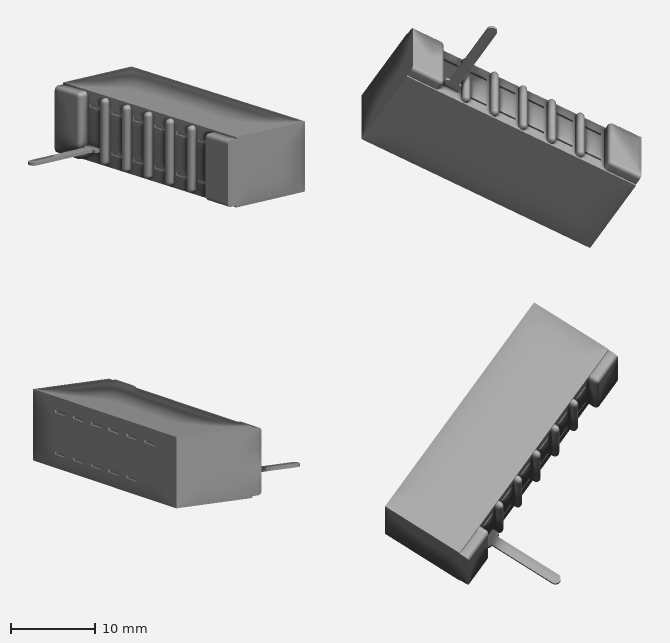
import cadquery as cq


housing_length = 31.65
housing_depth = 10.73
housing_height = 8.7

foot_length = 4.43
foot_projection = 1.33
raised_inset = 0.22
raised_height = housing_height - 2 * raised_inset
foot_fillet = 0.5

contact_pitch = 3.95
column_count = 6
row_spacing = 5.05

slot_width = 2.2
slot_height = 0.38

rib_radius = 0.5
rib_projection = 0.82
rib_base = rib_projection - rib_radius

pin_reach = 10.38
shoulder_projection = 1.0
shoulder_corner_radius = 0.32
shaft_width = 1.27

column_positions = [(i - (column_count - 1) / 2) * contact_pitch for i in range(column_count)]
rib_positions = [x + contact_pitch / 2 for x in column_positions[:-1]]
row_positions = [-row_spacing / 2, row_spacing / 2]


def make_left_foot():
    """Foot with its front and inner edges rounded, flush with the left end of the housing."""
    foot = cq.Workplane("XY").box(
        foot_length, foot_projection, raised_height, centered=(False, False, True)
    )
    foot = foot.edges("(>X and (|Y or <Y)) or (<Y and |X)").fillet(foot_fillet)
    return foot.translate((-housing_length / 2, -foot_projection, 0))


def make_rib(x):
    """Upright rib with a half-round nose and ball-shaped ends."""
    core_height = raised_height - 2 * rib_radius
    base = (
        cq.Workplane("XZ")
        .slot2D(raised_height, 2 * rib_radius, 90)
        .extrude(rib_base)
    )
    nose = cq.Workplane("XY").circle(rib_radius).extrude(core_height / 2, both=True)
    for ball_z in (-core_height / 2, core_height / 2):
        nose = nose.union(cq.Workplane("XY").sphere(rib_radius).translate((0, 0, ball_z)))
    return base.union(nose.translate((0, -rib_base, 0))).translate((x, 0, 0))


def make_contact_slots():
    """Grid of flat slots running through the full housing depth."""
    centers = [(x, z) for x in column_positions for z in row_positions]
    return (
        cq.Workplane("XZ")
        .pushPoints(centers)
        .rect(slot_width, slot_height)
        .extrude(-housing_depth)
    )


def make_housing():
    """Block with two feet and a row of ribs on its front face, pierced by the contact slots."""
    body = cq.Workplane("XY").box(
        housing_length, housing_depth, housing_height, centered=(True, False, True)
    )
    left_foot = make_left_foot()
    body = body.union(left_foot).union(left_foot.mirror("YZ"))
    for x in rib_positions:
        body = body.union(make_rib(x))
    return body.cut(make_contact_slots())


def make_pin(x, z):
    """Flat contact filling its slot, stepping down at a shoulder to a round-tipped shaft."""
    blade_length = housing_depth + shoulder_projection
    blade = (
        cq.Workplane("XY")
        .box(slot_width, blade_length, slot_height, centered=(True, False, True))
        .translate((0, -shoulder_projection, 0))
        .edges("<Y and |Z")
        .fillet(shoulder_corner_radius)
    )
    tip_radius = shaft_width / 2
    tip_center_y = tip_radius - pin_reach
    shaft = (
        cq.Workplane("XY", origin=(0, 0, -slot_height / 2))
        .moveTo(-tip_radius, 0)
        .lineTo(-tip_radius, tip_center_y)
        .threePointArc((0, -pin_reach), (tip_radius, tip_center_y))
        .lineTo(tip_radius, 0)
        .close()
        .extrude(slot_height)
    )
    return blade.union(shaft).translate((x, 0, z))


housing = make_housing()
pin = make_pin(column_positions[0], row_positions[0])

result = cq.Compound.makeCompound([housing.val(), pin.val()])